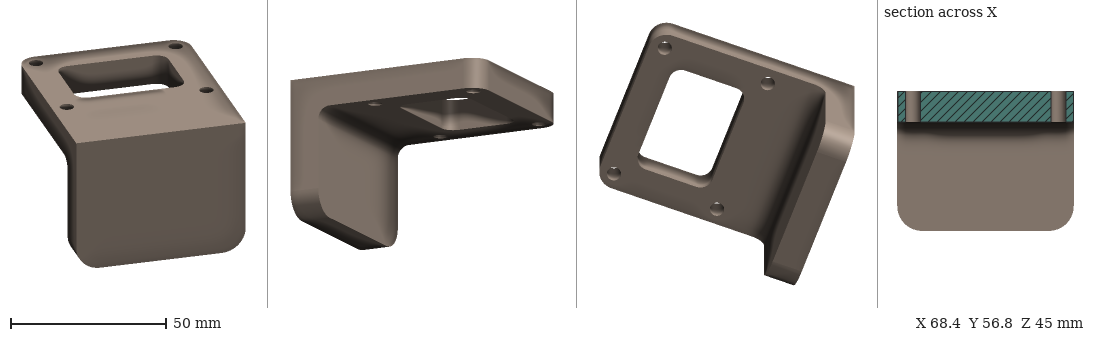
import cadquery as cq
import math

length = 68.4
width = 56.8
height = 45.0
thickness = 10.0

plate_corner_radius = 6.0
wall_corner_radius = 8.0
inner_bend_radius = 4.0

window_margin = 10.0
window_length = 25.4
window_width = width - 2 * window_margin
window_corner_radius = 4.0

hole_diameter = 4.6
hole_edge_distance = window_margin / 2
hole_spacing_x = window_length + window_margin
hole_spacing_y = width - 2 * hole_edge_distance

hole_pattern_center_x = hole_edge_distance + hole_spacing_x / 2
window_center_x = window_margin + window_length / 2


def make_plate():
    plate = cq.Workplane("XY").box(length, width, thickness, centered=(False, True, False))
    plate = plate.translate((0, 0, -thickness))
    return plate.edges("|Z and <X").fillet(plate_corner_radius)


def make_wall():
    wall = cq.Workplane("XY").box(thickness, width, height, centered=(False, True, False))
    wall = wall.translate((length - thickness, 0, -height))
    return wall.edges("|X and <Z").fillet(wall_corner_radius)


def make_bend_fillet():
    """Concave fillet filling the inner corner between plate and wall."""
    corner_x = length - thickness
    corner_z = -thickness
    arc_offset = inner_bend_radius * (1 - math.cos(math.radians(45)))
    return (
        cq.Workplane("XZ")
        .moveTo(corner_x, corner_z)
        .lineTo(corner_x - inner_bend_radius, corner_z)
        .threePointArc(
            (corner_x - arc_offset, corner_z - arc_offset),
            (corner_x, corner_z - inner_bend_radius),
        )
        .close()
        .extrude(width / 2, both=True)
    )


def make_mounting_holes():
    return (
        cq.Workplane("XY")
        .center(hole_pattern_center_x, 0)
        .rect(hole_spacing_x, hole_spacing_y, forConstruction=True)
        .vertices()
        .circle(hole_diameter / 2)
        .extrude(-thickness)
    )


def make_window():
    window = (
        cq.Workplane("XY")
        .center(window_center_x, 0)
        .rect(window_length, window_width)
        .extrude(-thickness)
    )
    return window.edges("|Z").fillet(window_corner_radius)


bracket = make_plate().union(make_wall()).union(make_bend_fillet())
result = bracket.cut(make_mounting_holes()).cut(make_window())